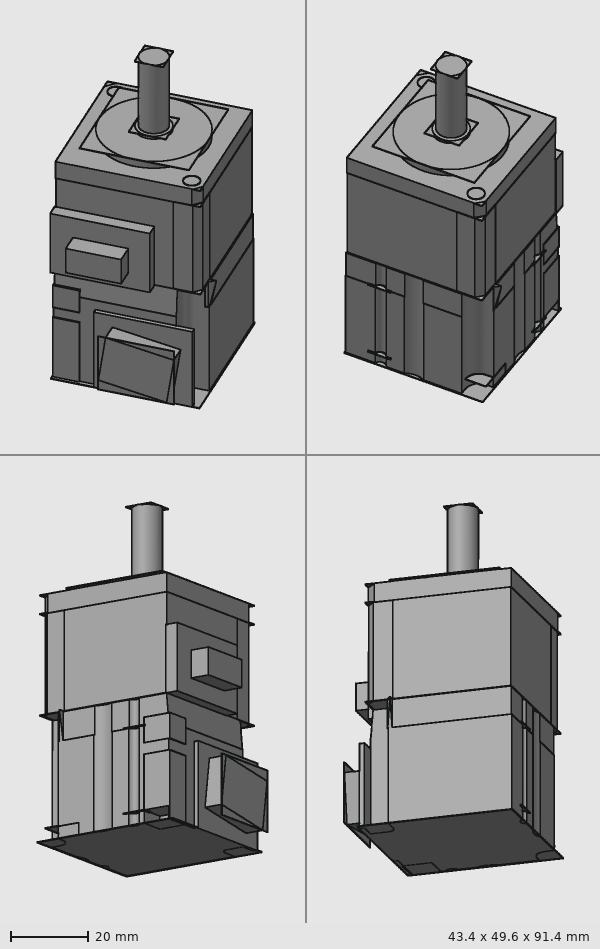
import cadquery as cq

TOTAL_HEIGHT = 91.4
HOUSING_BOTTOM = 34.1
FLANGE_BOTTOM = 61.3
FLANGE_TOP = 66.5
PILOT_TOP = 68.8
COLLAR_TOP = 69.9
TAPER_BOTTOM = 26.3
FOOT_HEIGHT = 3.7

SHEET = 0.2
FACE_STEP = 0.1

SHAFT_RADIUS = 4.0
SHAFT_SHEET = 7.9
COLLAR_RADIUS = 4.9
COLLAR_SHEET = 10.2
PILOT_RADIUS = 15.1

HOUSING_SIDE = 39.9
HOUSING_HALF = HOUSING_SIDE / 2
CORNER_TURN_RADIUS = 26.6
CORNER_FACE_START = 12.4
HOLE_OFFSET = 16.3
HOLE_RADIUS = 2.3

BODY_HALF = 20.2
BODY_FRONT = -20.75
BASE_HALF = 20.5
FRONT_POCKET_START = 13.6
FRONT_POCKET_RADIUS = 2.3
BACK_POCKET_START = 14.1
BACK_POCKET_RADIUS = 4.0
POCKET_FOOT_START = 7.6
POCKET_FOOT_END = 18.2
POCKET_SHEET_THROUGH = 0.9
WIDE_GROOVE_WIDTH = 5.8
WIDE_GROOVE_DEPTH = 0.7
NARROW_GROOVE_WIDTH = 3.2
NARROW_GROOVE_DEPTH = 1.1
NARROW_GROOVE_CENTER = -9.8
TAB_WIDTH = 6.8
TAB_CENTER = -10.05
TAB_REACH = 20.7
TAB_EMBED = 2.3

FIN_SPAN = 43.4
FIN_REACH = FIN_SPAN / 2
FIN_START = 12.5
FIN_END = 13.9
FIN_ROOT = 0.9

PAD_EDGE = -13.0
PAD_FRONT = -21.1
UPPER_PAD_BOTTOM = 21.75
UPPER_PAD_TOP = 28.6
LOWER_PAD_TOP = 18.6
NOTCH_DEPTH = 7.3
NOTCH_WALL = 0.4

MOTOR_PLATE = (-BODY_HALF, 7.3, HOUSING_BOTTOM, 52.5)
MOTOR_PLATE_FRONT = -23.4
MOTOR_PLUG = (-13.9, 1.4, 38.9, 46.4)
MOTOR_PLUG_FRONT = -28.9

ENCODER_PLATE = (-8.7, 18.55, 0.0, 23.5)
ENCODER_PLATE_FRONT = -22.0
ENCODER_SHEET = (-5.6, 15.4, 3.5, 20.0)
ENCODER_PLUG_FRONT = -27.4
ENCODER_PLUG_WIDTH = 19.0
ENCODER_PLUG_HEIGHT = 13.8
ENCODER_PLUG_TILT = 8.3


def block(x0, x1, y0, y1, z0, z1):
    """Box between two opposite corners."""
    return cq.Workplane("XY").box(x1 - x0, y1 - y0, z1 - z0, centered=False).translate((x0, y0, z0))


def cylinder(radius, z0, z1, x=0, y=0):
    return cq.Workplane("XY").workplane(offset=z0).center(x, y).circle(radius).extrude(z1 - z0)


def square_sheet(side, z0):
    return cq.Workplane("XY").box(side, side, SHEET, centered=(True, True, False)).translate((0, 0, z0))


def front_block(rectangle, y_front, y_back):
    x0, x1, z0, z1 = rectangle
    return block(x0, x1, y_front, y_back, z0, z1)


def across_diagonal(shape):
    """Mirror image that swaps (x, y) for (-y, -x)."""
    return shape.mirror("YZ").rotate((0, 0, 0), (0, 0, 1), 90)


def half_turn(shape):
    return shape.rotate((0, 0, 0), (0, 0, 1), 180)


def both_sides(shape):
    return shape.union(across_diagonal(shape))


def rounded_corner_square(half, z0, z1):
    """Square prism whose -X+Y and +X-Y corners are turned round."""
    square = block(-half, half, -half, half, z0, z1)
    corner = block(0, half, -half, 0, z0, z1).cut(cylinder(CORNER_TURN_RADIUS, z0, z1))
    return square.cut(corner).cut(half_turn(corner))


def make_housing():
    """Housing a small step inside the flange, lowered once more beside its rounded corners."""
    half = HOUSING_HALF - FACE_STEP
    housing = rounded_corner_square(half, HOUSING_BOTTOM, FLANGE_BOTTOM)
    lowered = block(CORNER_FACE_START, half, -half, -half + FACE_STEP, HOUSING_BOTTOM, FLANGE_BOTTOM)
    lowered = both_sides(lowered)
    return housing.cut(lowered).cut(half_turn(lowered))


def make_flange():
    """Rounded-corner flange with its square top sheet and two shallow round recesses."""
    flange = rounded_corner_square(HOUSING_HALF, FLANGE_BOTTOM, FLANGE_TOP)
    flange = flange.union(square_sheet(HOUSING_SIDE, FLANGE_TOP - SHEET))
    hole = cylinder(HOLE_RADIUS, FLANGE_TOP - SHEET, FLANGE_TOP, HOLE_OFFSET, -HOLE_OFFSET)
    return flange.cut(hole).cut(half_turn(hole))


def make_shaft_end():
    pilot = cylinder(PILOT_RADIUS, FLANGE_TOP, PILOT_TOP)
    collar = cylinder(COLLAR_RADIUS, PILOT_TOP, COLLAR_TOP)
    shaft = cylinder(SHAFT_RADIUS, COLLAR_TOP, TOTAL_HEIGHT)
    return pilot.union(collar).union(shaft)


def make_cover_sheets():
    """Thin square sheets that end the round and rounded-corner stages."""
    sheets = square_sheet(SHAFT_SHEET, TOTAL_HEIGHT - SHEET)
    for side, z0 in (
        (COLLAR_SHEET, COLLAR_TOP - SHEET),
        (2 * PILOT_RADIUS, PILOT_TOP - SHEET),
        (HOUSING_SIDE, FLANGE_BOTTOM),
        (HOUSING_SIDE, HOUSING_BOTTOM),
    ):
        sheets = sheets.union(square_sheet(side, z0))
    base = block(-BASE_HALF, BASE_HALF, ENCODER_PLATE_FRONT, BASE_HALF, 0, SHEET)
    return sheets.union(base)


def make_body_blank():
    """Lower body; above a small step all round, its front leans back to the housing."""
    straight = block(-BODY_HALF, BODY_HALF, BODY_FRONT, BODY_HALF, 0, TAPER_BOTTOM)
    half = BODY_HALF - FACE_STEP
    profile = [
        (half, TAPER_BOTTOM),
        (half, HOUSING_BOTTOM),
        (-HOUSING_HALF, HOUSING_BOTTOM),
        (BODY_FRONT + FACE_STEP, TAPER_BOTTOM),
    ]
    leaning = cq.Workplane("YZ").polyline(profile).close().extrude(half, both=True)
    return straight.union(leaning)


def make_bolt_pocket(start, radius):
    """Clearance for a mounting bolt at the +X-Y corner, open outward."""
    size = 2 * (BASE_HALF - start)
    pocket = block(0, size, -size, 0, 0, HOUSING_BOTTOM).edges("|Z and <X and >Y").fillet(radius)
    return pocket.translate((start, -start, 0))


def make_groove(center, width, depth):
    """Round-bottomed groove up the -X face."""
    half = width / 2
    radius = (half ** 2 + depth ** 2) / (2 * depth)
    return cylinder(radius, 0, HOUSING_BOTTOM, -BODY_HALF + depth - radius, center)


def make_side_grooves():
    """A wide shallow groove and a narrow deeper one."""
    wide = make_groove(0, WIDE_GROOVE_WIDTH, WIDE_GROOVE_DEPTH)
    return wide.union(make_groove(NARROW_GROOVE_CENTER, NARROW_GROOVE_WIDTH, NARROW_GROOVE_DEPTH))


def make_side_tabs():
    """Thin tabs across the narrow groove on the -X face, at its foot and at the taper."""
    y0 = TAB_CENTER - TAB_WIDTH / 2
    tabs = cq.Workplane("XY")
    for z0 in (FOOT_HEIGHT - SHEET, TAPER_BOTTOM):
        tabs = tabs.add(block(-TAB_REACH, -BODY_HALF + TAB_EMBED, y0, y0 + TAB_WIDTH, z0, z0 + SHEET))
    return tabs.combine()


def make_pocket_sheet():
    """Thin sheet crossing the bolt pocket at the foot, on the -X face."""
    return block(-BODY_HALF, -BACK_POCKET_START + POCKET_SHEET_THROUGH, POCKET_FOOT_START, POCKET_FOOT_END,
                 FOOT_HEIGHT - SHEET, FOOT_HEIGHT)


def make_pocket_foot():
    """Slight recess of the -X face under that sheet."""
    return block(-BODY_HALF, -BODY_HALF + FACE_STEP, POCKET_FOOT_START, POCKET_FOOT_END,
                 SHEET, FOOT_HEIGHT - SHEET)


def make_pads():
    """Two slightly raised pads that wrap round the -X-Y corner."""
    side = -BODY_HALF - FACE_STEP
    upper = block(side, PAD_EDGE, PAD_FRONT, PAD_EDGE, UPPER_PAD_BOTTOM, UPPER_PAD_TOP)
    lower = block(side, PAD_EDGE, PAD_FRONT, PAD_EDGE, 0, LOWER_PAD_TOP)
    return upper.union(lower)


def make_corner_notch():
    """Opening in the -X face at the foot of the pads, closed by a thin front wall."""
    side = -BODY_HALF - FACE_STEP
    return block(side, side + NOTCH_DEPTH, PAD_FRONT + NOTCH_WALL, PAD_EDGE, SHEET, FOOT_HEIGHT)


def make_fin():
    """Small pointed fin on the +X face beside the bolt pocket, fading out down the taper."""
    plan = [
        (HOUSING_HALF - FIN_ROOT, -FIN_START),
        (HOUSING_HALF, -FIN_START),
        (FIN_REACH, -FIN_START - FACE_STEP),
        (HOUSING_HALF, -FIN_END),
        (HOUSING_HALF - FIN_ROOT, -FIN_END),
    ]
    fin = cq.Workplane("XY").polyline(plan).close().extrude(HOUSING_BOTTOM + SHEET)
    profile = [
        (HOUSING_HALF - FIN_ROOT, TAPER_BOTTOM),
        (BODY_HALF, TAPER_BOTTOM),
        (FIN_REACH, HOUSING_BOTTOM),
        (FIN_REACH, HOUSING_BOTTOM + SHEET),
        (HOUSING_HALF - FIN_ROOT, HOUSING_BOTTOM + SHEET),
    ]
    return fin.intersect(cq.Workplane("XZ").polyline(profile).close().extrude(BASE_HALF))


def make_lower_body():
    body = make_body_blank().union(make_pads())
    body = body.cut(make_bolt_pocket(FRONT_POCKET_START, FRONT_POCKET_RADIUS))
    body = body.cut(half_turn(make_bolt_pocket(BACK_POCKET_START, BACK_POCKET_RADIUS)))
    body = body.cut(make_pocket_foot())
    body = body.cut(both_sides(make_side_grooves())).cut(make_corner_notch())
    body = body.union(both_sides(make_side_tabs())).union(make_pocket_sheet())
    fin = make_fin()
    return body.union(fin).union(half_turn(fin))


def make_motor_connector():
    plate = front_block(MOTOR_PLATE, MOTOR_PLATE_FRONT, -HOUSING_HALF + 2 * FACE_STEP)
    plug = front_block(MOTOR_PLUG, MOTOR_PLUG_FRONT, MOTOR_PLATE_FRONT)
    return plate.union(plug)


def make_encoder_connector():
    """Mounting plate with a tilted plug behind an upright face sheet."""
    x0, x1, z0, z1 = ENCODER_SHEET
    center_x = (x0 + x1) / 2
    center_z = (z0 + z1) / 2
    plate = front_block(ENCODER_PLATE, ENCODER_PLATE_FRONT, BODY_FRONT + FACE_STEP)
    plug = cq.Workplane("XY").box(ENCODER_PLUG_WIDTH, ENCODER_PLATE_FRONT - ENCODER_PLUG_FRONT,
                                  ENCODER_PLUG_HEIGHT)
    plug = plug.rotate((0, 0, 0), (0, 1, 0), ENCODER_PLUG_TILT)
    plug = plug.translate((center_x, (ENCODER_PLATE_FRONT + ENCODER_PLUG_FRONT) / 2, center_z))
    sheet = front_block(ENCODER_SHEET, ENCODER_PLUG_FRONT, ENCODER_PLUG_FRONT + SHEET)
    return plate.union(plug).union(sheet)


result = make_lower_body()
for section in (
    make_housing(),
    make_flange(),
    make_shaft_end(),
    make_cover_sheets(),
    make_motor_connector(),
    make_encoder_connector(),
):
    result = result.union(section)